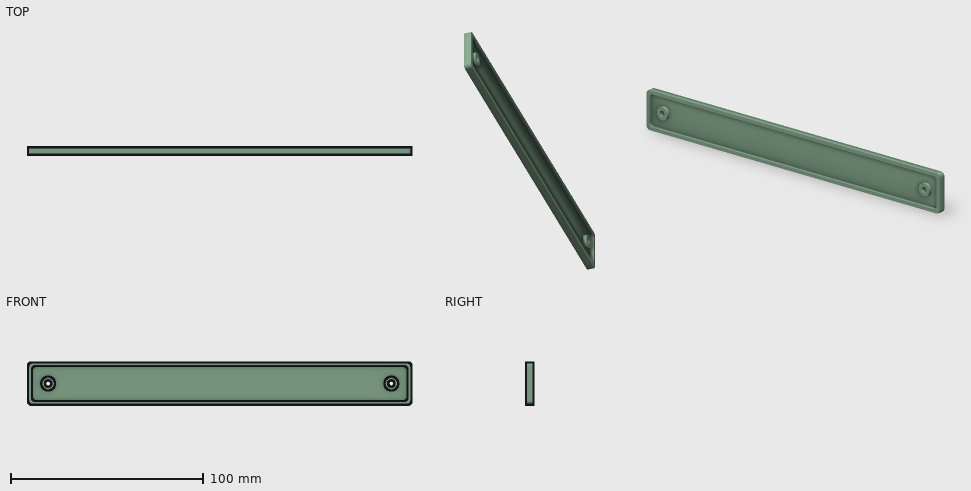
import cadquery as cq

length = 199.6
thickness = 4.0
height = 22.2
corner_radius = 2.0

rim_width = 2.0
recess_depth = 2.0
recess_corner_radius = 2.0

boss_diameter = 7.2
hole_diameter = 3.2
boss_spacing = 178.6

front_y = -thickness / 2
boss_centers = [(-boss_spacing / 2, 0), (boss_spacing / 2, 0)]


def rounded_block(size_x, size_y, size_z, radius):
    """Centred block with its four edges along Y rounded."""
    return cq.Workplane("XY").box(size_x, size_y, size_z).edges("|Y").fillet(radius)


def cylinders(diameter, depth):
    """Cylinders at both boss positions, running from the open face toward +Y."""
    return (
        cq.Workplane("XZ", origin=(0, front_y, 0))
        .pushPoints(boss_centers)
        .circle(diameter / 2)
        .extrude(-depth)
    )


plate = rounded_block(length, thickness, height, corner_radius)

recess = rounded_block(
    length - 2 * rim_width,
    recess_depth,
    height - 2 * rim_width,
    recess_corner_radius,
).translate((0, front_y + recess_depth / 2, 0))

bosses = cylinders(boss_diameter, recess_depth)
through_holes = cylinders(hole_diameter, thickness)

result = plate.cut(recess.cut(bosses)).cut(through_holes)